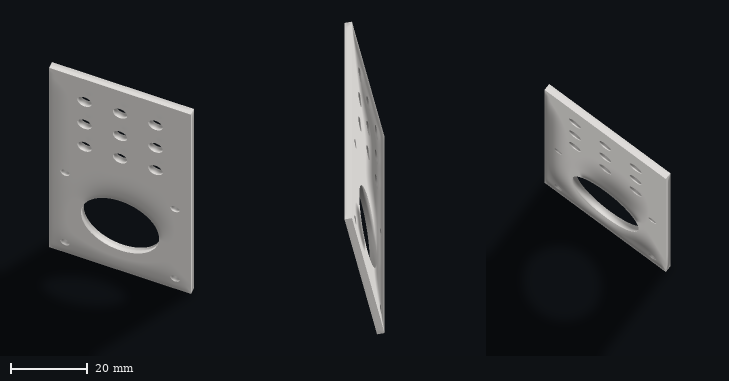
import cadquery as cq

plate_width = 40.0
plate_thickness = 2.0
plate_height = 80.0

grid_center_z = plate_height / 4
grid_hole_diameter = 4.0
grid_pitch = 10.0
grid_count = 3

opening_center_z = -plate_height / 4
round_opening_diameter = 22.0
screw_hole_diameter = 2.5
screw_spacing = 31.0
screw_count = 2


def make_plate():
    return cq.Workplane("XY").box(plate_width, plate_thickness, plate_height)


def cut_hole_array(body, center_z, diameter, pitch, count):
    """Cut a square array of through holes along Y, centred at X = 0 and the given Z."""
    return (
        body.faces("<Y")
        .workplane(origin=(0, 0, center_z))
        .rarray(pitch, pitch, count, count)
        .hole(diameter)
    )


def cut_round_opening(body):
    return (
        body.faces("<Y")
        .workplane(origin=(0, 0, opening_center_z))
        .hole(round_opening_diameter)
    )


result = make_plate()
result = cut_hole_array(result, grid_center_z, grid_hole_diameter, grid_pitch, grid_count)
result = cut_round_opening(result)
result = cut_hole_array(result, opening_center_z, screw_hole_diameter, screw_spacing, screw_count)